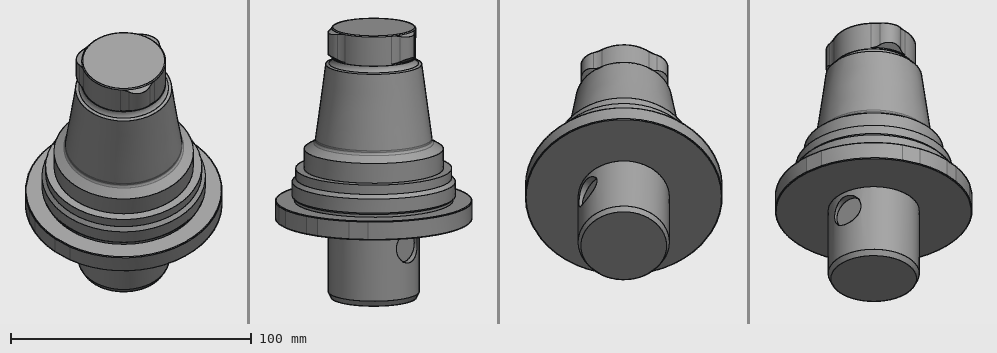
import cadquery as cq
import math

shank_chamfer_height = 2.4
flange_bottom = 33.2
flange_top = 41.3
groove_top = 42.4
collar_bottom = 43.2
collar_shoulder = 49.2
collar_top = 50.8
ring_top = 54.9
step_top = 63.2
cone_top = 66.1
taper_bottom = 67.6
taper_top = 99.2
neck_bottom = 99.6
neck_middle = 100.9
neck_top = 102.1
total_height = 115.0

shank_radius = 19.0
shank_end_radius = 17.8
flange_radius = 40.9
groove_radius = 66.1 / 2
collar_radius = 68.0 / 2
ring_radius = 65.0 / 2
step_radius = 58.0 / 2
taper_large_radius = 24.3
taper_small_radius = 20.0
neck_base_radius = 18.6
neck_middle_radius = 17.6
neck_radius = 17.2
head_radius = 17.5

flange_chamfer = 0.3
cone_fillet = 1.4
edge_search_margin = 0.1

wide_flat = 7.9
narrow_flat = 6.0
rim_flats = [(180, wide_flat), (240, wide_flat), (300, wide_flat), (270, narrow_flat)]

pocket_diameter = 13.8
pocket_height = 24.2
pocket_floor = 16.1

lobe_count = 3
lobe_reach = 19.9
lobe_tip_radius = 6.4
lobe_blend_radius = 10.6
lobe_bevel_bottom = 102.7
lobe_side_bottom = 104.5
lobe_side_top = 113.7
lobe_clearance = 1.2
head_chamfer = 0.5
head_rim = total_height - head_chamfer


def polar(radius, angle, center=(0, 0)):
    """Point at the given radius and angle (radians) from a center."""
    return (center[0] + radius * math.cos(angle), center[1] + radius * math.sin(angle))


def turned_body():
    """Revolved shank, flange, collar, taper, neck and round head."""
    profile = (
        cq.Workplane("XZ")
        .moveTo(0, 0)
        .lineTo(shank_end_radius, 0)
        .lineTo(shank_radius, shank_chamfer_height)
        .lineTo(shank_radius, flange_top)
        .lineTo(groove_radius, flange_top)
        .lineTo(groove_radius, groove_top)
        .lineTo(collar_radius, collar_bottom)
        .lineTo(collar_radius, collar_shoulder)
        .lineTo(ring_radius, collar_top)
        .lineTo(ring_radius, ring_top)
        .lineTo(step_radius, ring_top)
        .lineTo(step_radius, step_top)
        .lineTo(taper_large_radius, cone_top)
        .lineTo(taper_large_radius, taper_bottom)
        .lineTo(taper_small_radius, taper_top)
        .lineTo(neck_base_radius, neck_bottom)
        .threePointArc((neck_middle_radius, neck_middle), (neck_radius, neck_top))
        .lineTo(head_radius, neck_top)
        .lineTo(head_radius, head_rim)
        .lineTo(head_radius - head_chamfer, total_height)
        .lineTo(0, total_height)
        .close()
    )
    body = profile.revolve(360, (0, 0, 0), (0, 1, 0))
    cone_corner = cq.selectors.BoxSelector(
        (-flange_radius, -flange_radius, cone_top - edge_search_margin),
        (flange_radius, flange_radius, cone_top + edge_search_margin),
    )
    return body.edges(cone_corner).fillet(cone_fillet)


def flange():
    """Flange disc with flats on its rim and chamfered edges."""
    thickness = flange_top - flange_bottom
    disc = cq.Workplane("XY").workplane(offset=flange_bottom).circle(flange_radius).extrude(thickness)
    for angle, width in rim_flats:
        flat_distance = math.sqrt(flange_radius**2 - (width / 2) ** 2)
        cutter = (
            cq.Workplane("XY")
            .box(flange_radius, 2 * width, thickness, centered=(False, True, False))
            .translate((flat_distance, 0, flange_bottom))
            .rotate((0, 0, 0), (0, 0, 1), angle)
        )
        disc = disc.cut(cutter)
    return disc.faces("<Z or >Z").edges().chamfer(flange_chamfer)


def lobe():
    """One rounded lobe along +X, blended tangentially into the round head."""
    tip_distance = lobe_reach - lobe_tip_radius
    blend_distance = head_radius + lobe_blend_radius
    tip_to_blend = lobe_tip_radius + lobe_blend_radius
    blend_angle = math.acos(
        (blend_distance**2 + tip_distance**2 - tip_to_blend**2) / (2 * blend_distance * tip_distance)
    )
    blend_x, blend_y = polar(blend_distance, blend_angle)
    tip_angle = math.atan2(blend_y, blend_x - tip_distance)

    head_x, head_y = polar(head_radius, blend_angle)
    middle_angle = math.pi + (blend_angle + tip_angle) / 2
    middle_x, middle_y = polar(lobe_blend_radius, middle_angle, (blend_x, blend_y))
    tip_x, tip_y = polar(lobe_tip_radius, tip_angle, (tip_distance, 0))

    prism = (
        cq.Workplane("XY")
        .workplane(offset=neck_top)
        .moveTo(0, 0)
        .lineTo(head_x, -head_y)
        .threePointArc((middle_x, -middle_y), (tip_x, -tip_y))
        .threePointArc((lobe_reach, 0), (tip_x, tip_y))
        .threePointArc((middle_x, middle_y), (head_x, head_y))
        .close()
        .extrude(total_height - neck_top)
    )
    return prism.intersect(lobe_envelope())


def lobe_envelope():
    """Turned envelope whose conical top and underside bevel the lobes."""
    lobe_projection = lobe_reach - head_radius
    bottom_slope = (lobe_side_bottom - lobe_bevel_bottom) / lobe_projection
    top_slope = (lobe_side_top - head_rim) / lobe_projection
    outer_radius = lobe_reach + lobe_clearance
    return (
        cq.Workplane("XZ")
        .moveTo(0, lobe_bevel_bottom - bottom_slope * head_radius)
        .lineTo(outer_radius, lobe_bevel_bottom + bottom_slope * (outer_radius - head_radius))
        .lineTo(outer_radius, head_rim + top_slope * (outer_radius - head_radius))
        .lineTo(head_radius, head_rim)
        .lineTo(0, head_rim)
        .close()
        .revolve(360, (0, 0, 0), (0, 1, 0))
    )


def shank_pockets():
    """Cutters for the opposed blind pockets along X."""
    depth = shank_radius - pocket_floor
    pocket = (
        cq.Workplane("YZ")
        .workplane(offset=pocket_floor)
        .center(0, pocket_height)
        .circle(pocket_diameter / 2)
        .extrude(depth)
    )
    return pocket.union(pocket.mirror("YZ"))


result = turned_body().union(flange())
for index in range(lobe_count):
    result = result.union(lobe().rotate((0, 0, 0), (0, 0, 1), index * 360 / lobe_count))
result = result.cut(shank_pockets())